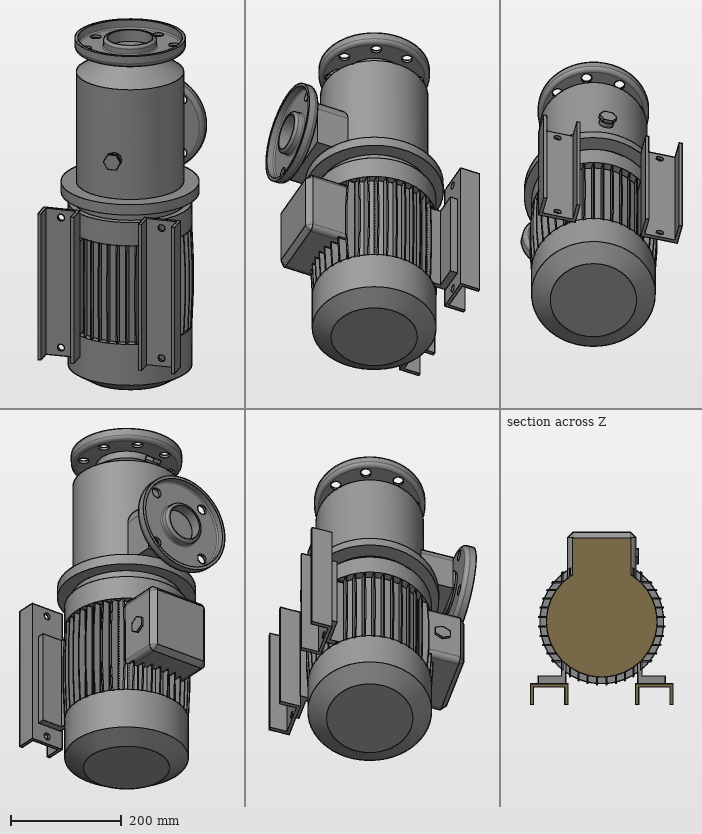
import cadquery as cq
import math


motor_radius = 112.0
cowl_nose_radius = 78.0
cowl_nose_height = 21.0
fin_bottom_z = 99.5
fin_top_z = 289.0
fin_mid_z = (fin_bottom_z + fin_top_z) / 2
fin_length = fin_top_z - fin_bottom_z
motor_shoulder_z = 334.0
spigot_radius = 100.0
flange_bottom_z = 353.0
joint_z = 373.0
motor_flange_radius = 125.0

fin_core_radius = 100.0
fin_bulge_radius = 115.0
fin_pitch_radius = 110.0
fins_per_side = 10
fin_pitch_angle = 90.0 / fins_per_side
fin_thickness = 2.0

foot_inner_x = 65.0
foot_width = 50.0
foot_inset = 5.0
foot_pad_thickness = 14.0
foot_riser_thickness = 8.0
foot_height = fin_length - 2 * foot_inset

shaft_height = motor_radius
rail_centre_x = 95.0
rail_width = 68.0
rail_depth = 38.0
rail_wall = 6.0
rail_length = 281.0
rail_bottom_z = 68.0
rail_mid_z = rail_bottom_z + rail_length / 2
rail_hole_diameter = 13.0
rail_hole_spacing = 250.0

box_width = 124.0
box_height = 133.0
box_outer_y = 162.0
box_corner_radius = 10.0
box_chamfer = 9.9
gland_y = 118.0
gland_height = 4.0

housing_radius = 97.25
cone_bottom_z = 584.0
neck_bottom_z = 613.0
neck_radius = 55.5
inlet_face_z = 649.0

block_width = 113.0
block_height = 113.5
block_outer_y = 140.5
block_corner_radius = 32.0
outlet_z = 431.0
outlet_face_y = 175.0
outlet_neck_radius = 43.0
outlet_neck_taper_length = 4.0
outlet_neck_taper = 2.0

flange_sheet = 5.5
flange_inner_bend = 2.5
flange_outer_bend = flange_inner_bend + flange_sheet
stub_root_radius = 2.0
stub_edge_radius = 5.0
bolt_hole_diameter = 19.0
inlet_flange_radius = 100.0
inlet_flange_height = 22.0
inlet_stub_radius = 48.0
inlet_bore_radius = 41.0
inlet_bolt_circle_radius = 80.0
inlet_bolt_count = 8
outlet_flange_radius = 92.5
outlet_flange_height = 19.8
outlet_stub_radius = 39.5
outlet_bore_radius = 33.0
outlet_bolt_circle_radius = 72.5
outlet_bolt_count = 4
outlet_stub_rise = 2.0

hex_across_flats = 28.0
hex_across_corners = hex_across_flats / math.cos(math.radians(30))
hex_corner_up = 30.0
plug_head_height = 7.0
plug_shank_radius = 13.0
plug_root = 5.0
drain_z = 448.5
drain_reach = 17.0
vent_reach = 10.0


def cylinder(radius, bottom_z, top_z):
    return cq.Workplane("XY").workplane(offset=bottom_z).circle(radius).extrude(top_z - bottom_z)


def turned(profile):
    """Solid of revolution about Z from (radius, z) points."""
    return cq.Workplane("XZ").polyline(profile).close().revolve(360, (0, 0, 0), (0, 1, 0))


def box_between(x0, x1, y0, y1, z0, z1):
    return cq.Workplane("XY").box(x1 - x0, y1 - y0, z1 - z0, centered=False).translate((x0, y0, z0))


def make_fins():
    barrel = (
        cq.Workplane("XZ")
        .moveTo(0, fin_bottom_z)
        .lineTo(motor_radius, fin_bottom_z)
        .threePointArc((fin_bulge_radius, fin_mid_z), (motor_radius, fin_top_z))
        .lineTo(0, fin_top_z)
        .close()
        .revolve(360, (0, 0, 0), (0, 1, 0))
    )
    fins = cylinder(fin_core_radius, fin_bottom_z, fin_top_z)
    span = 2 * fin_bulge_radius
    for i in range(fins_per_side):
        angle = (i - (fins_per_side - 1) / 2) * fin_pitch_angle
        offset = fin_pitch_radius * math.sin(math.radians(angle))
        along_x = cq.Workplane("XY").box(span, fin_thickness, fin_length).translate((0, offset, fin_mid_z))
        along_y = cq.Workplane("XY").box(fin_thickness, span, fin_length).translate((offset, 0, fin_mid_z))
        fins = fins.union(along_x.intersect(barrel)).union(along_y.intersect(barrel))
    return fins


def make_foot():
    bottom_z = fin_mid_z - foot_height / 2
    top_z = fin_mid_z + foot_height / 2
    riser_outer_x = foot_inner_x + foot_riser_thickness
    riser_top_y = -math.sqrt(fin_core_radius**2 - riser_outer_x**2)
    riser = box_between(foot_inner_x, riser_outer_x, -shaft_height, riser_top_y, bottom_z, top_z)
    pad = box_between(
        foot_inner_x, foot_inner_x + foot_width,
        -shaft_height, foot_pad_thickness - shaft_height,
        bottom_z, top_z,
    )
    return riser.union(pad)


def make_rail():
    left_x = rail_centre_x - rail_width / 2
    right_x = rail_centre_x + rail_width / 2
    top_z = rail_bottom_z + rail_length
    open_y = -shaft_height - rail_depth
    channel = box_between(left_x, right_x, open_y, -shaft_height, rail_bottom_z, top_z)
    hollow = box_between(
        left_x + rail_wall, right_x - rail_wall,
        open_y, -shaft_height - rail_wall,
        rail_bottom_z, top_z,
    )
    holes = (
        cq.Workplane("XZ", origin=(rail_centre_x, -shaft_height, rail_mid_z))
        .rarray(1, rail_hole_spacing, 1, 2)
        .circle(rail_hole_diameter / 2)
        .extrude(rail_wall)
    )
    return channel.cut(hollow).cut(holes)


def make_terminal_box():
    half_width = box_width / 2
    bottom_z = fin_top_z - box_height
    mid_z = bottom_z + box_height / 2
    box = box_between(-half_width, half_width, 0, box_outer_y, bottom_z, fin_top_z)
    box = box.edges("|Y").fillet(box_corner_radius).faces(">Y").chamfer(box_chamfer)
    gland = (
        cq.Workplane("YZ", origin=(half_width, gland_y, mid_z))
        .polygon(6, hex_across_corners)
        .extrude(gland_height)
        .rotate((0, gland_y, mid_z), (1, gland_y, mid_z), hex_corner_up)
    )
    return box.union(gland)


def make_motor():
    motor = turned([
        (0, 0),
        (cowl_nose_radius, 0),
        (motor_radius, cowl_nose_height),
        (motor_radius, fin_bottom_z),
        (0, fin_bottom_z),
    ])
    motor = motor.union(make_fins())
    motor = motor.union(cylinder(motor_radius, fin_top_z, motor_shoulder_z))
    motor = motor.union(cylinder(spigot_radius, motor_shoulder_z, flange_bottom_z))
    motor = motor.union(cylinder(motor_flange_radius, flange_bottom_z, joint_z))
    motor = motor.union(make_terminal_box())
    support = make_foot().union(make_rail())
    return motor.union(support).union(support.mirror("YZ"))


def make_pipe_flange(radius, height, stub_radius, stub_rise, bore_radius, bolt_circle_radius, bolt_count):
    """Dished flange with its back on Z = 0, its rim towards +Z and a pipe stub in the middle."""
    rim_inner = radius - flange_sheet
    stub_top = height + stub_rise
    diagonal = math.sqrt(0.5)
    outer_centre_r = radius - flange_outer_bend
    outer_bend_mid = (
        outer_centre_r + flange_outer_bend * diagonal,
        flange_outer_bend * (1 - diagonal),
    )
    inner_bend_mid = (
        outer_centre_r + flange_inner_bend * diagonal,
        flange_outer_bend - flange_inner_bend * diagonal,
    )
    root_centre_r = stub_radius + stub_root_radius
    root_mid = (
        root_centre_r - stub_root_radius * diagonal,
        flange_sheet + stub_root_radius * (1 - diagonal),
    )
    edge_mid = (
        stub_radius - stub_edge_radius * (1 - diagonal),
        stub_top - stub_edge_radius * (1 - diagonal),
    )
    flange = (
        cq.Workplane("XZ")
        .moveTo(bore_radius, 0)
        .lineTo(outer_centre_r, 0)
        .threePointArc(outer_bend_mid, (radius, flange_outer_bend))
        .lineTo(radius, height)
        .lineTo(rim_inner, height)
        .lineTo(rim_inner, flange_outer_bend)
        .threePointArc(inner_bend_mid, (outer_centre_r, flange_sheet))
        .lineTo(root_centre_r, flange_sheet)
        .threePointArc(root_mid, (stub_radius, flange_sheet + stub_root_radius))
        .lineTo(stub_radius, stub_top - stub_edge_radius)
        .threePointArc(edge_mid, (stub_radius - stub_edge_radius, stub_top))
        .lineTo(bore_radius, stub_top)
        .close()
        .revolve(360, (0, 0, 0), (0, 1, 0))
    )
    bolt_holes = (
        cq.Workplane("XY")
        .polarArray(bolt_circle_radius, 180 / bolt_count, 360, bolt_count)
        .circle(bolt_hole_diameter / 2)
        .extrude(flange_sheet)
    )
    return flange.cut(bolt_holes)


def make_plug(reach):
    """Hexagon plug along +Z on a wall at Z = 0, its head ending at the given reach."""
    shank = cylinder(plug_shank_radius, -plug_root, reach - plug_head_height)
    head = (
        cq.Workplane("XY")
        .workplane(offset=reach - plug_head_height)
        .polygon(6, hex_across_corners)
        .extrude(plug_head_height)
    )
    return shank.union(head)


def make_outlet():
    half_width = block_width / 2
    block = box_between(-half_width, half_width, 0, block_outer_y, joint_z, joint_z + block_height)
    block = block.edges("|Y and >Z").fillet(block_corner_radius)
    flange_back_y = outlet_face_y - outlet_stub_rise - outlet_flange_height
    neck_length = flange_back_y - block_outer_y
    taper_end_radius = outlet_neck_radius - outlet_neck_taper
    neck = turned([
        (0, -neck_length),
        (outlet_neck_radius, -neck_length),
        (outlet_neck_radius, -outlet_neck_taper_length),
        (taper_end_radius, 0),
        (0, 0),
    ])
    flange = make_pipe_flange(
        outlet_flange_radius, outlet_flange_height,
        outlet_stub_radius, outlet_stub_rise, outlet_bore_radius,
        outlet_bolt_circle_radius, outlet_bolt_count,
    )
    fitting = neck.union(flange).rotate((0, 0, 0), (1, 0, 0), -90).translate((0, flange_back_y, outlet_z))
    return block.union(fitting)


def make_pump():
    flange_back_z = inlet_face_z - inlet_flange_height
    pump = turned([
        (0, joint_z),
        (housing_radius, joint_z),
        (housing_radius, cone_bottom_z),
        (neck_radius, neck_bottom_z),
        (neck_radius, flange_back_z),
        (0, flange_back_z),
    ])
    inlet_flange = make_pipe_flange(
        inlet_flange_radius, inlet_flange_height,
        inlet_stub_radius, 0, inlet_bore_radius,
        inlet_bolt_circle_radius, inlet_bolt_count,
    )
    pump = pump.union(inlet_flange.translate((0, 0, flange_back_z)))
    pump = pump.union(make_outlet())

    drain_plug = make_plug(drain_reach).rotate((0, 0, 0), (1, 0, 0), 90)
    pump = pump.union(drain_plug.translate((0, -housing_radius, drain_z)))

    cone_lean = math.degrees(math.atan2(neck_bottom_z - cone_bottom_z, housing_radius - neck_radius))
    cone_mid_radius = (housing_radius + neck_radius) / 2
    cone_mid_z = (cone_bottom_z + neck_bottom_z) / 2
    vent_plug = make_plug(vent_reach).rotate((0, 0, 0), (1, 0, 0), -cone_lean)
    return pump.union(vent_plug.translate((0, cone_mid_radius, cone_mid_z)))


motor = make_motor()
pump = make_pump()
result = cq.Compound.makeCompound([motor.val(), pump.val()])